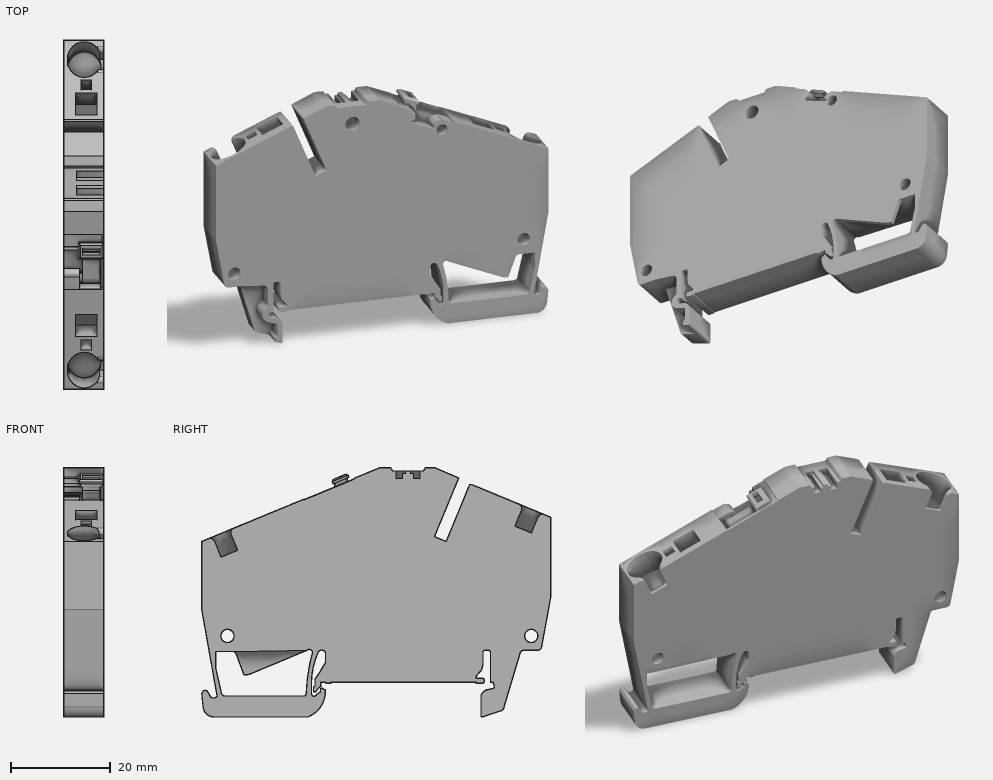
import cadquery as cq
import math


WIDTH = 8.1
LENGTH = 69.95
HEIGHT = 49.96
END_Y = LENGTH / 2

SLOPE = 22.5
SLOPE_SIN = math.sin(math.radians(SLOPE))
SLOPE_COS = math.cos(math.radians(SLOPE))
SLOPE_TAN = math.tan(math.radians(SLOPE))
FRONT_CREST_Y = 0.7
REAR_CREST_Y = 19.1
REAR_CREST_Z = 46.6

GROOVE_FLOOR_Z = 36.15
GROOVE_MOUTH_Y = 16.55
GROOVE_MOUTH_Z = 47.9
GROOVE_WIDTH = 2.5
GROOVE_LAND = 0.4
GROOVE_DROP = GROOVE_MOUTH_Z - GROOVE_FLOOR_Z
CAP_REAR_Y = 11.75

CROWN_FLOOR_Z = 49.3
CROWN_FRONT_Y = 3.3
CROWN_REAR_Y = 9.43
CROWN_DRAFT = 0.4
CONTACT_SLOT_X = 2.6
CONTACT_SLOT_CENTRE_Y = 6.35
CONTACT_SLOT_OFFSET = 1.45
CONTACT_SLOT_WIDTH = 1.9
CONTACT_STEP_WIDTH = 0.6
CONTACT_STEP_DEPTH = 0.5
CONTACT_SLOT_DEPTH = 1.5

REAR_KNEE_Z = 24.0
FRONT_KNEE_Z = 21.5
UNDERSIDE_Z = 13.35
RAIL_SEAT_Z = 6.95
LIP_Z = 6.75
FOOT_TOP_Z = 4.25
TONGUE_THICKNESS = 1.0
CLIP_WEB_X = WIDTH / 2

RIVET_RADIUS = 1.3
RIVET_Z = 16.25
RIVET_REAR_Y = 31.05
RIVET_FRONT_Y = -29.8
DIMPLE_RADIUS = 1.5
DIMPLE_Y = 6.2
DIMPLE_Z = 45.55
DIMPLE_DEPTH = 3.0

FUNNEL_X = 4.15
FUNNEL_Y = 31.1
FUNNEL_RADIUS_X = 3.4
FUNNEL_RADIUS_SLOPE = 3.86
FUNNEL_DEPTH = 5.3
PORT_X = 4.57
TEST_PORT_Y = 26.05
TEST_PORT_SIZE = 2.1
TOOL_PORT_Y = 22.2
TOOL_PORT_WIDTH = 4.25
TOOL_PORT_LENGTH = 4.75
PORT_DEPTH = 6.1
NOTCH_X = 6.8
NOTCH_WIDTH = 3.6
NOTCH_LIP_RADIUS = 1.0
NOTCH_DEPTH = 4.4

PIVOT_Y = -12.6
PIVOT_Z = 42.0
SEAT_REAR_Y = -3.9
SEAT_FRONT_Y = -15.0
SEAT_DEPTH = 0.25
SEAT_WALL_X = 7.7
SEAT_WALL_DEPTH = 0.1
SEAT_WALL_INSET = 0.5
LEVER_SLOT_X = 3.2
LEVER_CLEARANCE = 0.1
PIVOT_HOLE_RADIUS = 1.15

ARM_X = 3.75
ARM_WIDTH = 3.55
BARREL_RADIUS = 1.08
PIN_RADIUS = 0.95
PIN_LENGTH = 1.5
ARM_BOTTOM = -0.25
ARM_END = 6.1
NECK_FRONT = 5.25
NECK_REAR = 6.6
NECK_FILLET = 0.45
HEAD_X = 3.05
HEAD_WIDTH = 5.0
HEAD_FRONT = 5.45
HEAD_REAR = 8.9
HEAD_BOTTOM = 2.1
FLANGE_BOTTOM = 2.85
HEAD_TOP = 3.65
HEAD_CHAMFER = 0.35
HEAD_BASE_INSET = 0.35
HEAD_BASE_TAPER = 0.3
HEAD_POCKET_WIDTH = 3.5
HEAD_POCKET_LENGTH = 1.3
HEAD_POCKET_DEPTH = 1.4
HEAD_POCKET_ALONG = 7.1


def front_slope_z(y):
    return HEIGHT - (FRONT_CREST_Y - y) * SLOPE_TAN


def rear_slope_z(y):
    return REAR_CREST_Z - (y - REAR_CREST_Y) * SLOPE_TAN


def side_sketch(x=0.0):
    """Sketch plane across the plate: local axes are Y and Z, extruding toward +X."""
    return cq.Workplane("YZ", origin=(x, 0, 0))


def lever_sketch(x):
    """Sketch plane at the pivot: local axes run up the slope and square to it."""
    plane = cq.Plane(origin=(x, PIVOT_Y, PIVOT_Z), xDir=(0, SLOPE_COS, SLOPE_SIN), normal=(1, 0, 0))
    return cq.Workplane(plane)


def trace_top(outline):
    """Front slope, crown recess, cap, marker groove and rear slope."""
    groove_shift = GROOVE_DROP * SLOPE_TAN
    groove_dy = GROOVE_WIDTH * SLOPE_COS
    groove_dz = GROOVE_WIDTH * SLOPE_SIN
    floor_y = GROOVE_MOUTH_Y - groove_shift
    rear_wall_top_y = REAR_CREST_Y - GROOVE_LAND
    return (
        outline.lineTo(FRONT_CREST_Y, HEIGHT)
        .lineTo(CROWN_FRONT_Y - CROWN_DRAFT, HEIGHT)
        .lineTo(CROWN_FRONT_Y, CROWN_FLOOR_Z)
        .lineTo(CROWN_REAR_Y, CROWN_FLOOR_Z)
        .lineTo(CROWN_REAR_Y + CROWN_DRAFT, HEIGHT)
        .lineTo(CAP_REAR_Y, HEIGHT)
        .lineTo(GROOVE_MOUTH_Y, GROOVE_MOUTH_Z)
        .lineTo(floor_y, GROOVE_FLOOR_Z)
        .lineTo(floor_y + groove_dy, GROOVE_FLOOR_Z - groove_dz)
        .lineTo(rear_wall_top_y, REAR_CREST_Z)
        .lineTo(REAR_CREST_Y, REAR_CREST_Z)
        .lineTo(END_Y, rear_slope_z(END_Y))
    )


def trace_rail_clip(outline):
    """Rear side, then the springy clip strip with its hook, back up to the clip gap."""
    return (
        outline.lineTo(END_Y, REAR_KNEE_Z)
        .lineTo(33.15, 14.1)
        .threePointArc((32.9, 13.6), (32.4, UNDERSIDE_Z))
        .lineTo(29.2, UNDERSIDE_Z)
        .lineTo(25.0, 12.9)
        .threePointArc((24.3, 12.6), (23.95, 11.9))
        .lineTo(23.95, 8.3)
        .lineTo(24.8, 7.5)
        .threePointArc((25.2, 6.5), (24.8, 5.5))
        .lineTo(24.2, 5.0)
        .lineTo(22.0, 4.2)
        .lineTo(22.0, 1.6)
        .lineTo(22.45, 1.1)
        .lineTo(22.45, 0.4)
        .lineTo(21.3, 0)
        .threePointArc((21.05, 0.1), (20.95, 0.35))
        .lineTo(20.95, 4.3)
        .threePointArc((21.4, 5.0), (22.2, 5.5))
        .lineTo(23.4, 5.75)
        .threePointArc((23.65, 5.9), (23.75, 6.2))
        .lineTo(23.75, RAIL_SEAT_Z)
        .lineTo(22.85, RAIL_SEAT_Z)
    )


def trace_rail_seat(outline):
    """Clip gap, rail hook, flat rail seat and the front latch barb."""
    return (
        outline.lineTo(22.85, 13.0)
        .threePointArc((22.75, 13.25), (22.5, UNDERSIDE_Z))
        .lineTo(21.75, UNDERSIDE_Z)
        .threePointArc((21.5, 13.25), (21.4, 13.0))
        .lineTo(21.4, 10.6)
        .lineTo(21.15, 9.5)
        .lineTo(20.05, 8.2)
        .lineTo(20.05, 7.8)
        .lineTo(21.3, 7.8)
        .threePointArc((21.7, 7.25), (21.3, LIP_Z))
        .lineTo(20.0, LIP_Z)
        .lineTo(20.0, RAIL_SEAT_Z)
        .lineTo(-9.1, RAIL_SEAT_Z)
        .lineTo(-9.1, LIP_Z)
        .lineTo(-10.1, LIP_Z)
        .lineTo(-10.1, RAIL_SEAT_Z)
        .lineTo(-11.1, RAIL_SEAT_Z)
        .lineTo(-11.1, 6.1)
        .lineTo(-11.6, 5.8)
        .lineTo(-12.1, 5.05)
        .lineTo(-12.6, 5.05)
        .lineTo(-12.6, 6.0)
        .lineTo(-12.3, 6.2)
        .lineTo(-12.3, 7.6)
        .lineTo(-11.45, 8.8)
        .lineTo(-10.2, 10.9)
    )


def trace_front_foot(outline):
    """Leaf-spring gap, the foot with its rounded toe, and the front side."""
    return (
        outline.lineTo(-10.2, 12.9)
        .threePointArc((-10.85, 13.4), (-11.6, 13.0))
        .threePointArc((-12.55, 10.2), (-12.95, 7.0))
        .lineTo(-12.95, 4.7)
        .threePointArc((-12.4, 4.2), (-12.0, 4.5))
        .lineTo(-11.25, 5.0)
        .lineTo(-11.2, 5.5)
        .threePointArc((-10.9, 5.8), (-10.6, 5.55))
        .lineTo(-10.2, 5.55)
        .lineTo(-10.2, 4.5)
        .threePointArc((-11.3, 1.8), (-13.7, 0))
        .lineTo(-32.7, 0)
        .threePointArc((-34.1, 0.7), (-34.7, 2.0))
        .lineTo(-END_Y, 4.7)
        .lineTo(-34.65, 5.26)
        .threePointArc((-34.1, 5.35), (-33.7, 5.0))
        .lineTo(-33.2, 4.1)
        .threePointArc((-32.5, 3.85), (-31.9, 4.2))
        .lineTo(-END_Y, FRONT_KNEE_Z)
        .close()
    )


def plate():
    outline = side_sketch().moveTo(-END_Y, front_slope_z(-END_Y))
    for trace in (trace_top, trace_rail_clip, trace_rail_seat, trace_front_foot):
        outline = trace(outline)
    return outline.extrude(WIDTH)


def clip_web():
    """Web that stiffens the clip strip over the far half of the width."""
    return (
        side_sketch(CLIP_WEB_X)
        .moveTo(29.4, UNDERSIDE_Z)
        .threePointArc((29.0, 13.1), (28.75, 12.5))
        .lineTo(25.6, 2.0)
        .threePointArc((25.4, 1.5), (25.0, 1.25))
        .lineTo(22.45, 0.4)
        .lineTo(21.5, 0.1)
        .lineTo(21.5, 4.5)
        .lineTo(23.8, 5.6)
        .lineTo(23.4, RAIL_SEAT_Z)
        .lineTo(23.4, UNDERSIDE_Z)
        .close()
        .extrude(WIDTH - CLIP_WEB_X)
    )


def foot_window():
    """Opening between the foot, its leaf spring and the plate, with a thin tongue left on the -X side."""
    behind_tongue = (
        side_sketch(TONGUE_THICKNESS)
        .moveTo(-13.9, 13.35)
        .lineTo(-28.5, 13.1)
        .lineTo(-28.5, FOOT_TOP_Z)
        .lineTo(-14.5, FOOT_TOP_Z)
        .close()
        .extrude(WIDTH - TONGUE_THICKNESS)
    )
    opening = (
        side_sketch()
        .moveTo(-12.8, 12.9)
        .threePointArc((-13.2, 13.5), (-13.9, 13.35))
        .lineTo(-25.5, 8.5)
        .lineTo(-26.5, 8.4)
        .lineTo(-28.15, 12.8)
        .lineTo(-28.5, 13.1)
        .lineTo(-32.1, 13.1)
        .lineTo(-32.1, 9.7)
        .lineTo(-31.05, 5.1)
        .threePointArc((-30.85, 4.5), (-30.3, FOOT_TOP_Z))
        .lineTo(-14.5, FOOT_TOP_Z)
        .threePointArc((-14.15, 4.4), (-14.05, 4.7))
        .threePointArc((-13.65, 9.0), (-12.8, 12.9))
        .close()
        .extrude(WIDTH)
    )
    return opening.union(behind_tongue)


def round_holes():
    rivets = (
        side_sketch()
        .pushPoints([(RIVET_REAR_Y, RIVET_Z), (RIVET_FRONT_Y, RIVET_Z)])
        .circle(RIVET_RADIUS)
        .extrude(WIDTH)
    )
    dimple = side_sketch().center(DIMPLE_Y, DIMPLE_Z).circle(DIMPLE_RADIUS).extrude(DIMPLE_DEPTH)
    return rivets.union(dimple)


def contact_slot(side):
    """Stepped slot in the crown floor; side is +1 for the rear one, -1 for the front one."""
    inner_y = CONTACT_SLOT_CENTRE_Y + side * (CONTACT_SLOT_OFFSET - CONTACT_SLOT_WIDTH / 2)
    outer_y = inner_y + side * CONTACT_SLOT_WIDTH
    step_y = inner_y + side * CONTACT_STEP_WIDTH
    step_z = CROWN_FLOOR_Z - CONTACT_STEP_DEPTH
    floor_z = CROWN_FLOOR_Z - CONTACT_SLOT_DEPTH
    return (
        side_sketch(CONTACT_SLOT_X)
        .moveTo(inner_y, HEIGHT)
        .lineTo(inner_y, step_z)
        .lineTo(step_y, step_z)
        .lineTo(step_y, floor_z)
        .lineTo(outer_y, floor_z)
        .lineTo(outer_y, HEIGHT)
        .close()
        .extrude(WIDTH - CONTACT_SLOT_X)
    )


def terminal_openings(side, slope_z):
    """Wire funnel with its side notch, test port and tool port; side is the sign of Y."""

    def sunk(x, y, sketch, depth):
        plane = cq.Plane(
            origin=(x, side * y, slope_z(side * y)),
            xDir=(1, 0, 0),
            normal=(0, side * SLOPE_SIN, SLOPE_COS),
        )
        return sketch(cq.Workplane(plane)).extrude(-depth)

    funnel = sunk(FUNNEL_X, FUNNEL_Y, lambda w: w.ellipse(FUNNEL_RADIUS_X, FUNNEL_RADIUS_SLOPE), FUNNEL_DEPTH)
    test_port = sunk(PORT_X, TEST_PORT_Y, lambda w: w.rect(TEST_PORT_SIZE, TEST_PORT_SIZE), PORT_DEPTH)
    tool_port = sunk(PORT_X, TOOL_PORT_Y, lambda w: w.rect(TOOL_PORT_WIDTH, TOOL_PORT_LENGTH), PORT_DEPTH)
    return funnel.union(test_port).union(tool_port).union(wire_notch(side, slope_z))


def wire_notch(side, slope_z):
    """Notch with rounded lips, square to the slope, from the funnel out through the +X face."""
    half_width = NOTCH_WIDTH / 2
    half_mouth = half_width + NOTCH_LIP_RADIUS
    arc_inset = NOTCH_LIP_RADIUS * math.cos(math.radians(45))
    arc_drop = NOTCH_LIP_RADIUS - arc_inset
    plane = cq.Plane(
        origin=(NOTCH_X, side * FUNNEL_Y, slope_z(side * FUNNEL_Y)),
        xDir=(0, SLOPE_COS, -side * SLOPE_SIN),
        normal=(1, 0, 0),
    )
    return (
        cq.Workplane(plane)
        .moveTo(-half_mouth, 0)
        .threePointArc((-half_mouth + arc_inset, -arc_drop), (-half_width, -NOTCH_LIP_RADIUS))
        .lineTo(-half_width, -NOTCH_DEPTH)
        .lineTo(half_width, -NOTCH_DEPTH)
        .lineTo(half_width, -NOTCH_LIP_RADIUS)
        .threePointArc((half_mouth - arc_inset, -arc_drop), (half_mouth, 0))
        .close()
        .extrude(WIDTH - NOTCH_X)
    )


def slope_shaving(rear_y, front_y, depth, x_start, x_end):
    """Thin layer taken off the front slope between two places along Y."""
    drop = depth / SLOPE_COS
    return (
        side_sketch(x_start)
        .moveTo(rear_y, HEIGHT)
        .lineTo(rear_y, front_slope_z(rear_y) - drop)
        .lineTo(front_y, front_slope_z(front_y) - drop)
        .lineTo(front_y, HEIGHT)
        .close()
        .extrude(x_end - x_start)
    )


def trace_pocket_rear(outline):
    """Stepped, undercut rear wall of the lever pocket, down to its floor."""
    return (
        outline.moveTo(-6.3, HEIGHT)
        .lineTo(-6.4, 46.15)
        .lineTo(-7.0, 46.1)
        .lineTo(-7.0, 45.0)
        .lineTo(-6.2, 44.5)
        .lineTo(-6.3, 44.1)
        .lineTo(-11.1, 42.3)
    )


def lever_pocket():
    """Seat on the slope, finger opening to the -X face, lever slot and pivot hole."""
    seat = slope_shaving(SEAT_REAR_Y, SEAT_FRONT_Y, SEAT_DEPTH, 0, SEAT_WALL_X)
    wall_top = slope_shaving(
        SEAT_REAR_Y - SEAT_WALL_INSET, SEAT_FRONT_Y + SEAT_WALL_INSET, SEAT_WALL_DEPTH, SEAT_WALL_X, WIDTH
    )
    opening = (
        trace_pocket_rear(side_sketch())
        .lineTo(-11.3, 42.75)
        .lineTo(-10.75, 43.1)
        .threePointArc((-11.25, 43.8), (-12.0, 44.1))
        .lineTo(-12.4, 44.1)
        .lineTo(-12.4, HEIGHT)
        .close()
        .extrude(LEVER_SLOT_X)
    )
    slot = (
        trace_pocket_rear(side_sketch(LEVER_SLOT_X))
        .lineTo(-11.7, 41.8)
        .lineTo(PIVOT_Y, PIVOT_Z)
        .lineTo(-13.75, 42.0)
        .lineTo(SEAT_FRONT_Y + LEVER_CLEARANCE, 43.2)
        .lineTo(SEAT_FRONT_Y + LEVER_CLEARANCE, HEIGHT)
        .close()
        .extrude(ARM_X + ARM_WIDTH + LEVER_CLEARANCE - LEVER_SLOT_X)
    )
    barrel_room = (
        lever_sketch(LEVER_SLOT_X)
        .circle(PIVOT_HOLE_RADIUS)
        .extrude(ARM_X + ARM_WIDTH + LEVER_CLEARANCE - LEVER_SLOT_X)
    )
    pivot_hole = lever_sketch(0).circle(PIVOT_HOLE_RADIUS).extrude(LEVER_SLOT_X)
    return seat.union(wall_top).union(opening).union(slot).union(barrel_room).union(pivot_hole)


def make_housing():
    body = plate().union(clip_web())
    body = body.cut(foot_window()).cut(round_holes())
    for side, slope_z in ((1, rear_slope_z), (-1, front_slope_z)):
        body = body.cut(contact_slot(side)).cut(terminal_openings(side, slope_z))
    return body.cut(lever_pocket())


def lever_head():
    """Chamfered finger head on a narrower base, with a small pocket in its top."""
    flange = (
        lever_sketch(HEAD_X)
        .moveTo(HEAD_FRONT, FLANGE_BOTTOM)
        .lineTo(HEAD_REAR, FLANGE_BOTTOM)
        .lineTo(HEAD_REAR, HEAD_TOP)
        .lineTo(HEAD_FRONT, HEAD_TOP)
        .close()
        .extrude(HEAD_WIDTH)
        .faces(cq.selectors.DirectionMinMaxSelector(cq.Vector(0, -SLOPE_SIN, SLOPE_COS)))
        .chamfer(HEAD_CHAMFER)
    )
    base = (
        lever_sketch(HEAD_X + HEAD_BASE_INSET)
        .moveTo(HEAD_FRONT + HEAD_BASE_INSET - HEAD_BASE_TAPER, HEAD_BOTTOM)
        .lineTo(HEAD_REAR - HEAD_BASE_INSET - HEAD_BASE_TAPER, HEAD_BOTTOM)
        .lineTo(HEAD_REAR - HEAD_BASE_INSET, FLANGE_BOTTOM)
        .lineTo(HEAD_FRONT + HEAD_BASE_INSET, FLANGE_BOTTOM)
        .close()
        .extrude(HEAD_WIDTH - 2 * HEAD_BASE_INSET)
    )
    pocket = (
        lever_sketch(HEAD_X + (HEAD_WIDTH - HEAD_POCKET_WIDTH) / 2)
        .center(HEAD_POCKET_ALONG, HEAD_TOP - HEAD_POCKET_DEPTH / 2)
        .rect(HEAD_POCKET_LENGTH, HEAD_POCKET_DEPTH)
        .extrude(HEAD_POCKET_WIDTH)
    )
    return flange.union(base).cut(pocket)


def make_lever():
    fillet_drop = NECK_FILLET * (1 - math.cos(math.radians(45)))
    arm = (
        lever_sketch(ARM_X)
        .moveTo(0, ARM_BOTTOM)
        .lineTo(ARM_END, ARM_BOTTOM)
        .lineTo(NECK_REAR, HEAD_BOTTOM)
        .lineTo(HEAD_FRONT + HEAD_BASE_INSET - HEAD_BASE_TAPER, HEAD_BOTTOM)
        .lineTo(NECK_FRONT, BARREL_RADIUS + NECK_FILLET)
        .threePointArc(
            (NECK_FRONT - fillet_drop, BARREL_RADIUS + fillet_drop),
            (NECK_FRONT - NECK_FILLET, BARREL_RADIUS),
        )
        .lineTo(0, BARREL_RADIUS)
        .close()
        .extrude(ARM_WIDTH)
    )
    barrel = lever_sketch(ARM_X).circle(BARREL_RADIUS).extrude(ARM_WIDTH)
    pin = lever_sketch(ARM_X).circle(PIN_RADIUS).extrude(-PIN_LENGTH)
    return arm.union(barrel).union(pin).union(lever_head())


housing = make_housing()
lever = make_lever()
result = cq.Compound.makeCompound([housing.val(), lever.val()])